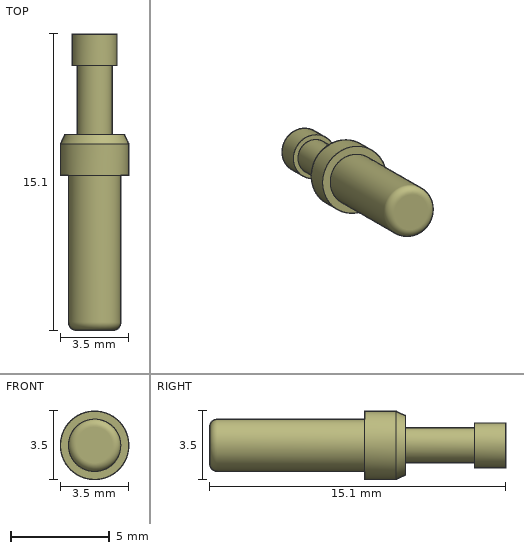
import cadquery as cq
import math

BODY_DIAMETER = 2.67
BODY_LENGTH = 7.9
BODY_EDGE_RADIUS = 0.4

COLLAR_DIAMETER = 3.5
COLLAR_LENGTH = 2.1
TAPER_LENGTH = 0.5
TAPER_ANGLE = 25

NECK_DIAMETER = 1.8
NECK_LENGTH = 3.5

HEAD_DIAMETER = 2.3
HEAD_LENGTH = 1.6


def cylinder_along_y(diameter, start, length):
    """Solid cylinder on the Y axis, running from start towards +Y."""
    return cq.Workplane("XZ", origin=(0, start, 0)).circle(diameter / 2).extrude(-length)


def make_body():
    """Long plain shank with a rounded free end."""
    body = cylinder_along_y(BODY_DIAMETER, -BODY_LENGTH, BODY_LENGTH)
    return body.faces("<Y").edges().fillet(BODY_EDGE_RADIUS)


def make_collar():
    """Stop collar, tapered towards the neck."""
    taper_depth = TAPER_LENGTH * math.tan(math.radians(TAPER_ANGLE))
    half_profile = (
        cq.Workplane("XY")
        .lineTo(COLLAR_DIAMETER / 2, 0)
        .lineTo(COLLAR_DIAMETER / 2, COLLAR_LENGTH - TAPER_LENGTH)
        .lineTo(COLLAR_DIAMETER / 2 - taper_depth, COLLAR_LENGTH)
        .lineTo(0, COLLAR_LENGTH)
        .close()
    )
    return half_profile.revolve(360, (0, 0, 0), (0, 1, 0))


def make_neck():
    return cylinder_along_y(NECK_DIAMETER, COLLAR_LENGTH, NECK_LENGTH)


def make_head():
    return cylinder_along_y(HEAD_DIAMETER, COLLAR_LENGTH + NECK_LENGTH, HEAD_LENGTH)


result = make_body().union(make_collar()).union(make_neck()).union(make_head())